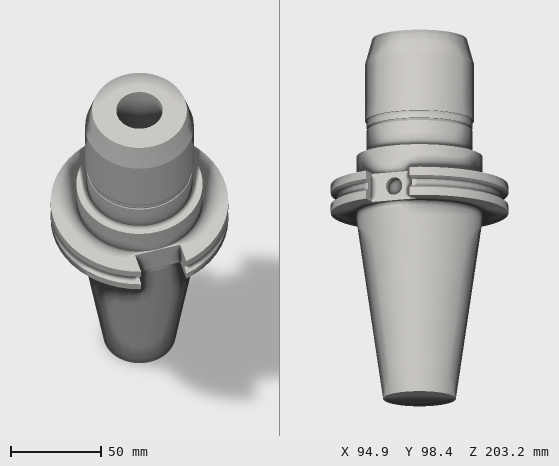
import cadquery as cq

total_height = 203.2
gauge_z = 101.5
flange_bottom_z = 104.9
flange_top_z = 120.7
collar_top_z = 136.5
ring_groove_z = 151.4
sleeve_bottom_z = 156.9
nose_bottom_z = 189.4

gauge_radius = 35.0
taper_ratio = 7 / 24
tail_radius = gauge_radius - gauge_z * taper_ratio / 2
flange_radius = 49.2
neck_radius = 29.3
sleeve_radius = 30.0
nose_radius = 26.2

grip_floor_radius = 45.7
grip_floor_bottom_z = 111.2
grip_floor_top_z = 114.6
grip_bottom_z = 109.3
grip_top_z = 116.0

ring_groove_width = 1.5
ring_groove_depth = 0.8

slot_width = 26.0
left_slot_floor = 37.8
right_slot_floor = 35.4

bore_radius = 12.8
bore_depth = 81.3
drive_hole_radius = 4.9
drive_hole_depth = 5.7
drive_hole_z = (flange_bottom_z + flange_top_z) / 2


def turned_body():
    """Revolve the half outline of the holder about the Z axis."""
    outline = [
        (0, 0),
        (tail_radius, 0),
        (gauge_radius, gauge_z),
        (gauge_radius, flange_bottom_z),
        (flange_radius, flange_bottom_z),
        (flange_radius, grip_bottom_z),
        (grip_floor_radius, grip_floor_bottom_z),
        (grip_floor_radius, grip_floor_top_z),
        (flange_radius, grip_top_z),
        (flange_radius, flange_top_z),
        (gauge_radius, flange_top_z),
        (gauge_radius, collar_top_z),
        (neck_radius, collar_top_z),
        (neck_radius, ring_groove_z),
        (neck_radius - ring_groove_depth, ring_groove_z),
        (neck_radius - ring_groove_depth, ring_groove_z + ring_groove_width),
        (neck_radius, ring_groove_z + ring_groove_width),
        (neck_radius, sleeve_bottom_z),
        (sleeve_radius, sleeve_bottom_z),
        (sleeve_radius, nose_bottom_z),
        (nose_radius, total_height),
        (0, total_height),
    ]
    return cq.Workplane("XZ").polyline(outline).close().revolve(360, (0, 0), (0, 1))


def drive_slot(side, floor):
    """Box that cuts one slot through the flange; side is -1 or +1 along X."""
    length = flange_radius - floor
    height = flange_top_z - flange_bottom_z
    center_x = side * (floor + length / 2)
    center_z = (flange_bottom_z + flange_top_z) / 2
    return cq.Workplane("XY").box(length, slot_width, height).translate((center_x, 0, center_z))


def drive_hole():
    """Radial blind hole in the floor of the -X slot."""
    hole = cq.Workplane("YZ").circle(drive_hole_radius).extrude(drive_hole_depth)
    return hole.translate((-left_slot_floor, 0, drive_hole_z))


def tool_bore():
    """Blind bore from the top face."""
    return (
        cq.Workplane("XY")
        .workplane(offset=total_height - bore_depth)
        .circle(bore_radius)
        .extrude(bore_depth)
    )


result = (
    turned_body()
    .cut(drive_slot(-1, left_slot_floor))
    .cut(drive_slot(1, right_slot_floor))
    .cut(drive_hole())
    .cut(tool_bore())
)